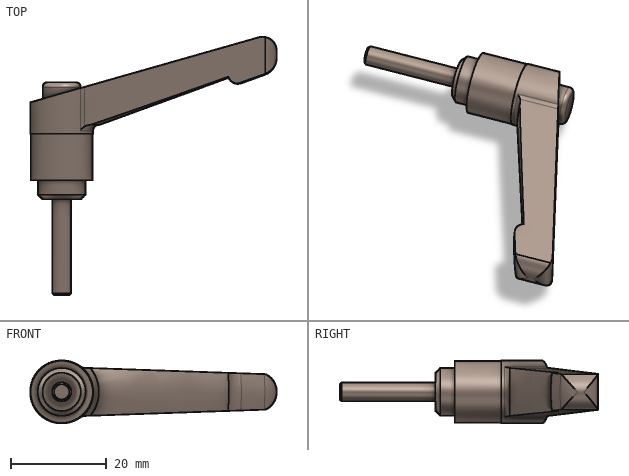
import cadquery as cq
import math


stud_radius = 2.0
stud_length = 20.0
stud_chamfer = 0.4
shoulder_radius = 5.0
shoulder_length = 4.0
shoulder_chamfer = 1.0
sleeve_radius = 6.5
sleeve_end = 13.75
hub_radius = 6.6
cap_radius = 4.0
cap_end = 24.5
cap_fillet = 1.0

tip_x = 45.0
tip_top_y = 34.02
upper_corner_radius = 3.0
lower_corner_radius = 3.9
top_angle = math.radians(15.9)
underside_angle = math.radians(20.0)
notch_x = 36.85
notch_y = 26.1
grip_drop = 2.0

root_half_width = 5.22
side_draft = math.radians(2.0)
tip_arc_x = 42.6
root_crown_radius = 20.0
notch_crown_radius = 31.0
crown_sweep_deg = 60.0

side_blend_radius = 1.7
flare_start = 14.38
flare_radius = 1.2
flare_end_radius = hub_radius + flare_radius

envelope_height = 40.0


def cylinder(radius, start_y, end_y):
    """Cylinder on the clamping axis."""
    return cq.Workplane("XZ", origin=(0, start_y, 0)).circle(radius).extrude(start_y - end_y)


def top_height(x):
    """Y of the sloping top plane, tangent to the upper tip corner."""
    corner_center_x = tip_x - upper_corner_radius
    corner_center_y = tip_top_y - upper_corner_radius
    rise = (x - corner_center_x) * math.tan(top_angle)
    return corner_center_y + upper_corner_radius / math.cos(top_angle) + rise


def underside_height(x, drop=0.0):
    """Y of the underside mid-line, lowered at right angles by drop."""
    return notch_y + (x - notch_x) * math.tan(underside_angle) - drop / math.cos(underside_angle)


def half_width(x):
    """Half of the arm's width at x."""
    return root_half_width - x * math.tan(side_draft)


def crown_axis_point(x, radius):
    """Point at the crown radius from the underside mid-line, at right angles to it."""
    return (
        x - radius * math.sin(underside_angle),
        underside_height(x) + radius * math.cos(underside_angle),
    )


def make_crowned_underside():
    """Space above the underside profile of arm, notch, grip and lower tip corner.

    The profile turns about a distant axis, which crowns it across Z, more strongly at the hub.
    """
    sine = math.sin(underside_angle)
    cosine = math.cos(underside_angle)
    notch_middle = underside_angle + math.radians(45)
    corner_x = tip_x - lower_corner_radius
    corner_y = underside_height(corner_x, grip_drop - lower_corner_radius)
    corner_middle = (underside_angle - math.radians(90)) / 2
    root_x = hub_radius / 3
    profile = (
        cq.Workplane("XY")
        .moveTo(root_x, underside_height(root_x))
        .lineTo(notch_x - grip_drop * cosine, notch_y - grip_drop * sine)
        .threePointArc(
            (notch_x - grip_drop * math.cos(notch_middle), notch_y - grip_drop * math.sin(notch_middle)),
            (notch_x + grip_drop * sine, notch_y - grip_drop * cosine),
        )
        .lineTo(corner_x + lower_corner_radius * sine, corner_y - lower_corner_radius * cosine)
        .threePointArc(
            (
                corner_x + lower_corner_radius * math.cos(corner_middle),
                corner_y + lower_corner_radius * math.sin(corner_middle),
            ),
            (tip_x, corner_y),
        )
        .lineTo(tip_x, envelope_height)
        .lineTo(root_x, top_height(hub_radius))
        .close()
    )
    axis_start = crown_axis_point(flare_end_radius, root_crown_radius)
    axis_end = crown_axis_point(notch_x, notch_crown_radius)
    turned = profile.revolve(crown_sweep_deg, axis_start, axis_end)
    return turned.rotate((*axis_start, 0), (*axis_end, 0), -crown_sweep_deg / 2)


def make_top_envelope():
    """Flat sloping top over hub and arm with its rounded upper tip corner."""
    slab = (
        cq.Workplane("XY")
        .moveTo(-tip_x, 0)
        .lineTo(-tip_x, top_height(-tip_x))
        .lineTo(tip_x, top_height(tip_x))
        .lineTo(tip_x, 0)
        .close()
        .extrude(hub_radius + 1, both=True)
    )
    return slab.edges("|Z and >X and >Y").fillet(upper_corner_radius)


def make_plan_envelope():
    """Plan of hub and tapered arm with its rounded end, blended together, at full height."""
    tip_half_width = half_width(tip_arc_x)
    arm = (
        cq.Workplane("XZ")
        .moveTo(0, root_half_width)
        .lineTo(tip_arc_x, tip_half_width)
        .threePointArc((tip_x, 0), (tip_arc_x, -tip_half_width))
        .lineTo(0, -root_half_width)
        .close()
        .extrude(-envelope_height)
    )
    plan = arm.union(cylinder(hub_radius, 0, envelope_height))
    inner_corners = cq.selectors.BoxSelector(
        (0, 0, -hub_radius),
        (hub_radius, envelope_height, hub_radius),
    )
    return plan.edges("|Y").edges(inner_corners).fillet(side_blend_radius)


def make_flared_core():
    """Round core on the clamping axis that flares out under the arm."""
    diagonal = flare_radius * math.sqrt(0.5)
    return (
        cq.Workplane("XY")
        .moveTo(0, sleeve_end)
        .lineTo(hub_radius, sleeve_end)
        .lineTo(hub_radius, flare_start)
        .threePointArc(
            (flare_end_radius - diagonal, flare_start + diagonal),
            (flare_end_radius, flare_start + flare_radius),
        )
        .lineTo(flare_end_radius, envelope_height)
        .lineTo(0, envelope_height)
        .close()
        .revolve(360, (0, 0), (0, 1))
    )


def make_lever():
    """Hub and arm under one sloping top plane."""
    blank = make_plan_envelope().intersect(make_top_envelope())
    hub = blank.intersect(make_flared_core())
    arm = blank.cut(cylinder(flare_end_radius, 0, envelope_height))
    arm = arm.intersect(make_crowned_underside())
    return hub.union(arm)


def make_axis_parts():
    """Stud, shoulder, sleeve and end cap."""
    stud = cylinder(stud_radius, -stud_length, 0).faces("<Y").chamfer(stud_chamfer)
    shoulder = cylinder(shoulder_radius, 0, shoulder_length).faces("<Y").chamfer(shoulder_chamfer)
    sleeve = cylinder(sleeve_radius, shoulder_length, sleeve_end)
    cap = cylinder(cap_radius, sleeve_end, cap_end).faces(">Y").edges().fillet(cap_fillet)
    return stud.union(shoulder).union(sleeve).union(cap)


result = make_lever().union(make_axis_parts())